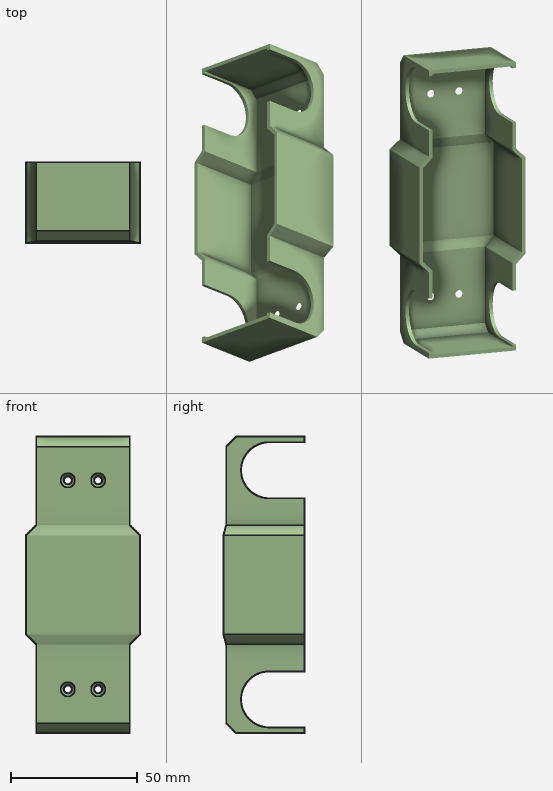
import cadquery as cq
import math

height = 117.0
block_width = 45.0
block_depth = 32.0

end_width = 37.0
end_depth = 31.0
end_chamfer = 4.0

block_height = 39.1
shoulder_height = 4.0

wall = 1.5

slot_radius = 11.0
slot_depth = 25.0
slot_end_margin = 2.3
slot_z = height / 2 - slot_end_margin - slot_radius
slot_straight = slot_depth - slot_radius

hole_diameter = 3.0
countersink_diameter = 5.6
countersink_angle = 90.0
hole_x = 6.0
hole_z = 41.2


def make_box(width, depth, tall):
    """Box centred in X and Z whose back face lies on Y = 0."""
    return cq.Workplane("XY").box(width, depth, tall).translate((0, -depth / 2, 0))


def make_body(inset):
    """Solid body with every face except the back moved inward by inset."""
    narrow_width = end_width - 2 * inset
    narrow_depth = end_depth - inset
    wide_width = block_width - 2 * inset
    wide_depth = block_depth - inset
    wide_height = block_height - 2 * inset * math.tan(math.pi / 8)
    chamfer = end_chamfer - inset * (2 - math.sqrt(2))

    bar = make_box(narrow_width, narrow_depth, height - 2 * inset)
    body = bar.faces("<Y").edges("|X").chamfer(chamfer)
    body = body.union(make_box(wide_width, wide_depth, wide_height))
    for side in (1, -1):
        shoulder = (
            cq.Workplane("XY", origin=(0, -wide_depth / 2, side * wide_height / 2))
            .rect(wide_width, wide_depth)
            .workplane(offset=side * shoulder_height)
            .center(0, (wide_depth - narrow_depth) / 2)
            .rect(narrow_width, narrow_depth)
            .loft(ruled=True)
        )
        body = body.union(shoulder)
    return body


def make_slot(z):
    """Cutter for one slot through both side walls."""
    straight = make_box(end_width, slot_straight, 2 * slot_radius).translate((0, 0, z))
    round_bottom = (
        cq.Workplane("YZ", origin=(0, -slot_straight, z))
        .circle(slot_radius)
        .extrude(end_width / 2, both=True)
    )
    return straight.union(round_bottom)


result = make_body(0).cut(make_body(wall))

for side in (1, -1):
    result = result.cut(make_slot(side * slot_z))

hole_centers = [(x, z) for x in (-hole_x, hole_x) for z in (-hole_z, hole_z)]
result = (
    result.copyWorkplane(cq.Workplane("XZ", origin=(0, -end_depth, 0)))
    .pushPoints(hole_centers)
    .cskHole(hole_diameter, countersink_diameter, countersink_angle, depth=end_depth)
)